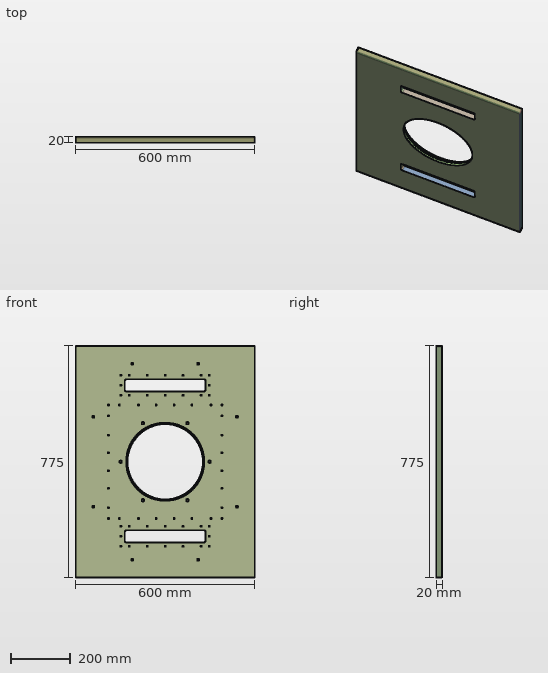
import cadquery as cq
import math

plate_width = 600.0
plate_height = 775.0
plate_thickness = 20.0
edge_radius = 3.0

bore_diameter = 252.0
recess_diameter = 262.0
recess_depth = 10.0

hole_depth = 12.5
drill_tip_angle = 118

ring_radius = 149.0
ring_count = 6
ring_hole_diameter = 8.5

slot_width = 270.0
slot_height = 40.0
slot_corner_radius = 5.0
upper_slot_z = 256.0
lower_slot_z = -249.5

small_hole_diameter = 4.0
slot_row_offset = 33.0
slot_row_xs = (0, 60.0, 120.0)
slot_side_x = 148.0

frame_half_side = 190.0
frame_offsets = (30.0, 89.0, 153.5)

mount_hole_diameter = 7.0
side_mount = (240.0, 150.0)
end_mount = (110.0, 328.0)


def mirrored(x, z):
    """Distinct positions of (x, z) mirrored about both centre lines."""
    return sorted({(sx * x, sz * z) for sx in (1, -1) for sz in (1, -1)})


def drilled_holes(points, diameter):
    """Blind holes with conical tips, drilled along +Y from the front face at (x, z) points."""
    radius = diameter / 2
    tip_length = radius / math.tan(math.radians(drill_tip_angle / 2))
    profile = [(0, 0), (radius, 0), (radius, hole_depth), (0, hole_depth + tip_length)]
    drill = cq.Workplane("XY").polyline(profile).close().revolve(360, (0, 0), (0, 1)).val()
    placed = [drill.translate(cq.Vector(x, 0, z)) for x, z in points]
    return cq.Workplane("XY").newObject([cq.Compound.makeCompound(placed)])


def plate():
    body = cq.Workplane("XZ").rect(plate_width, plate_height).extrude(-plate_thickness)
    return body.edges("|Y or >Y").fillet(edge_radius)


def central_opening():
    bore = cq.Workplane("XZ").circle(bore_diameter / 2).extrude(-plate_thickness)
    recess = cq.Workplane("XZ").circle(recess_diameter / 2).extrude(-recess_depth)
    return bore.union(recess)


def slots():
    centres = [(0, upper_slot_z), (0, lower_slot_z)]
    outlines = cq.Workplane("XZ").pushPoints(centres).rect(slot_width, slot_height)
    return outlines.extrude(-plate_thickness).edges("|Y").fillet(slot_corner_radius)


def ring_points():
    angles = [2 * math.pi * i / ring_count for i in range(ring_count)]
    return [(ring_radius * math.cos(a), ring_radius * math.sin(a)) for a in angles]


def slot_hole_points(slot_z):
    points = mirrored(slot_side_x, 0) + mirrored(slot_side_x, slot_row_offset)
    for x in slot_row_xs:
        points += mirrored(x, slot_row_offset)
    return [(x, slot_z + z) for x, z in points]


def frame_points():
    points = mirrored(frame_half_side, frame_half_side)
    for offset in frame_offsets:
        points += mirrored(offset, frame_half_side)
        points += mirrored(frame_half_side, offset)
    return points


small_points = frame_points() + slot_hole_points(upper_slot_z) + slot_hole_points(lower_slot_z)
mount_points = mirrored(*side_mount) + mirrored(*end_mount)

result = (
    plate()
    .cut(central_opening())
    .cut(slots())
    .cut(drilled_holes(ring_points(), ring_hole_diameter))
    .cut(drilled_holes(small_points, small_hole_diameter))
    .cut(drilled_holes(mount_points, mount_hole_diameter))
)